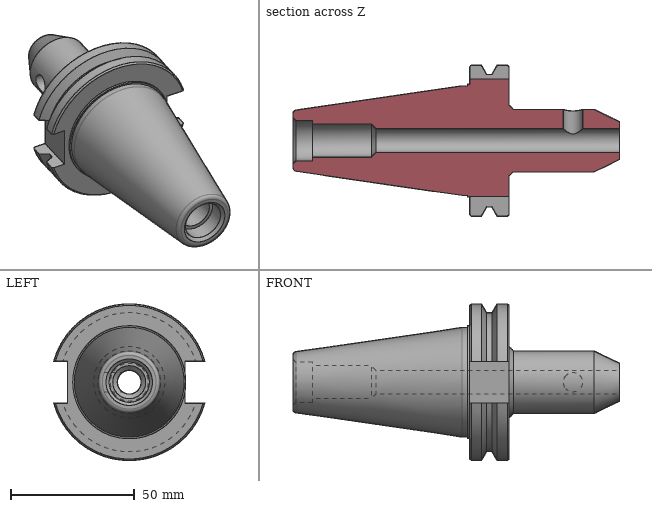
import cadquery as cq

total_length = 132.2

gauge_radius = 44.4 / 2
gauge_x = 68.4
taper_ratio = 7 / 24
small_end_radius = gauge_radius - gauge_x * taper_ratio / 2
small_end_round = 1.6

collar_radius = 22.9
collar_x = 70.6

flange_start = 71.5
flange_end = 87.5
flange_radius = 63.5 / 2
flange_chamfer = 0.7
groove_center = 79.5
groove_mouth_width = 6.3
groove_floor_width = 2.1
groove_depth = 3.6

slot_width = 16.9
far_slot_floor = 25.0
near_slot_floor = 22.6

nose_radius = 25.4 / 2
nose_root_chamfer = 1.7
nose_taper_start = 121.9
tip_radius = 7.7

mouth_radius = 18.8 / 2
counterbore_radius = 16.3 / 2
counterbore_depth = 7.9
thread_radius = 13.4 / 2
thread_end = 31.7
through_radius = 9.5 / 2

screw_hole_diameter = 7.8
screw_hole_x = 113.3


def revolve_about_x(points):
    """Revolve a closed (x, radius) outline about the X axis."""
    return cq.Workplane("XY").polyline(points).close().revolve(360, (0, 0, 0), (1, 0, 0))


def make_shank():
    shank = revolve_about_x([
        (0, 0),
        (0, small_end_radius),
        (gauge_x, gauge_radius),
        (collar_x, gauge_radius),
        (collar_x, collar_radius),
        (flange_start, collar_radius),
        (flange_start, 0),
    ])
    return shank.faces("<X").edges().fillet(small_end_round)


def make_flange():
    half_mouth = groove_mouth_width / 2
    half_floor = groove_floor_width / 2
    groove_radius = flange_radius - groove_depth
    rim_radius = flange_radius - flange_chamfer
    return revolve_about_x([
        (flange_start, 0),
        (flange_start, rim_radius),
        (flange_start + flange_chamfer, flange_radius),
        (groove_center - half_mouth, flange_radius),
        (groove_center - half_floor, groove_radius),
        (groove_center + half_floor, groove_radius),
        (groove_center + half_mouth, flange_radius),
        (flange_end - flange_chamfer, flange_radius),
        (flange_end, rim_radius),
        (flange_end, 0),
    ])


def make_slot(side, floor):
    """Slot cutter on the +Y (side = 1) or -Y (side = -1) side of the flange."""
    depth = flange_radius - floor
    return cq.Workplane("XY").box(flange_end - flange_start, depth, slot_width).translate(
        ((flange_start + flange_end) / 2, side * (floor + depth / 2), 0)
    )


def make_nose():
    return revolve_about_x([
        (flange_end, 0),
        (flange_end, nose_radius + nose_root_chamfer),
        (flange_end + nose_root_chamfer, nose_radius),
        (nose_taper_start, nose_radius),
        (total_length, tip_radius),
        (total_length, 0),
    ])


def make_bore():
    mouth_chamfer = mouth_radius - counterbore_radius
    thread_cone = thread_radius - through_radius
    return revolve_about_x([
        (0, 0),
        (0, mouth_radius),
        (mouth_chamfer, counterbore_radius),
        (counterbore_depth, counterbore_radius),
        (counterbore_depth, thread_radius),
        (thread_end, thread_radius),
        (thread_end + thread_cone, through_radius),
        (total_length, through_radius),
        (total_length, 0),
    ])


def make_screw_hole():
    """Cutter from the axis out through the +Y side of the nose."""
    return (
        cq.Workplane("XZ")
        .center(screw_hole_x, 0)
        .circle(screw_hole_diameter / 2)
        .extrude(-nose_radius)
    )


flange = make_flange().cut(make_slot(1, far_slot_floor)).cut(make_slot(-1, near_slot_floor))
body = make_shank().union(flange).union(make_nose())
result = body.cut(make_bore()).cut(make_screw_hole())